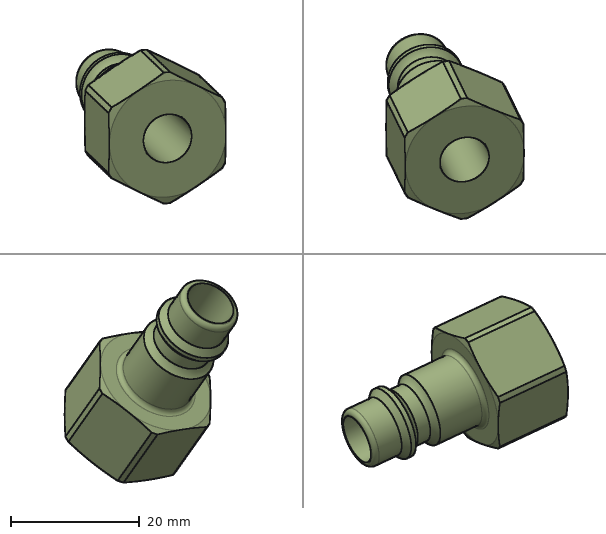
import cadquery as cq
import math

total_length = 33.0
bore_diameter = 7.85

nose_radius = 9.9 / 2
groove_radius = 9.75 / 2
body_radius = 12.0 / 2
nose_rounding = 0.82
collar_start = 5.05
collar_crest_start = 6.15
collar_crest_end = 7.03
groove_start = 8.12
groove_end = 10.43
body_start = 11.55
groove_flank_radius = 3.0
root_fillet = 0.8

nut_start = 20.0
across_flats = 19.0
corner_diameter = 21.4
chamfer_angle = 15.0


def revolve_about_x(profile):
    return profile.close().revolve(360, (0, 0, 0), (1, 0, 0))


def make_plug():
    profile = (
        cq.Workplane("XY")
        .lineTo(0, nose_radius - nose_rounding)
        .radiusArc((nose_rounding, nose_radius), nose_rounding)
        .lineTo(collar_start, nose_radius)
        .lineTo(collar_crest_start, body_radius)
        .lineTo(collar_crest_end, body_radius)
        .radiusArc((groove_start, groove_radius), -groove_flank_radius)
        .lineTo(groove_end, groove_radius)
        .radiusArc((body_start, body_radius), -groove_flank_radius)
        .lineTo(nut_start - root_fillet, body_radius)
        .radiusArc((nut_start, body_radius + root_fillet), -root_fillet)
        .lineTo(total_length, body_radius + root_fillet)
        .lineTo(total_length, 0)
    )
    return revolve_about_x(profile)


def make_nut():
    hexagon = (
        cq.Workplane("YZ", origin=(nut_start, 0, 0))
        .transformed(rotate=(0, 0, 90))
        .polygon(6, across_flats / math.cos(math.radians(30)))
        .extrude(total_length - nut_start)
    )
    face_radius = across_flats / 2
    corner_radius = corner_diameter / 2
    chamfer_length = (corner_radius - face_radius) * math.tan(math.radians(chamfer_angle))
    envelope = revolve_about_x(
        cq.Workplane("XY")
        .moveTo(nut_start, 0)
        .lineTo(nut_start, face_radius)
        .lineTo(nut_start + chamfer_length, corner_radius)
        .lineTo(total_length - chamfer_length, corner_radius)
        .lineTo(total_length, face_radius)
        .lineTo(total_length, 0)
    )
    return hexagon.intersect(envelope)


bore = cq.Workplane("YZ").circle(bore_diameter / 2).extrude(total_length)
result = make_plug().union(make_nut()).cut(bore)